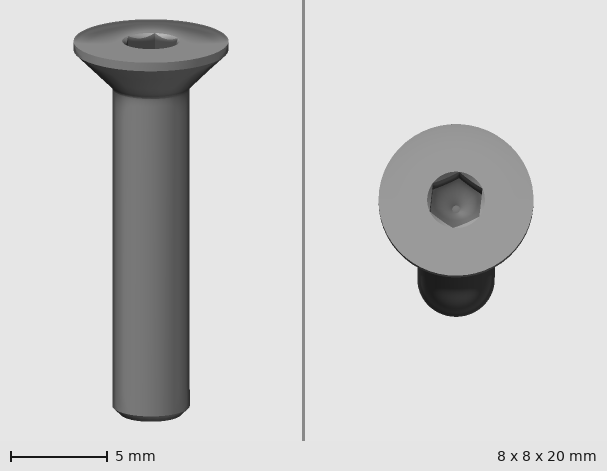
import cadquery as cq
import math

length = 20
head_radius = 4
shank_radius = 2
rim_height = 0.45
neck_fillet = 0.18
tip_chamfer = 0.4

socket_flats = 2.58
socket_depth = 1.6
socket_corner_radius = socket_flats / 2 / math.cos(math.radians(30))
mouth_radius = socket_corner_radius
floor_flat_radius = 0.2
floor_half_angle = 60

head_height = rim_height + head_radius - shank_radius


def make_body():
    """Revolved head and shank, with a small fillet at the neck."""
    profile = (
        cq.Workplane("XZ")
        .lineTo(head_radius, 0)
        .lineTo(head_radius, -rim_height)
        .lineTo(shank_radius, -head_height)
        .lineTo(shank_radius, -length + tip_chamfer)
        .lineTo(shank_radius - tip_chamfer, -length)
        .lineTo(0, -length)
        .close()
    )
    body = profile.revolve(360, (0, 0, 0), (0, 1, 0))
    neck = cq.selectors.BoxSelector(
        (-head_radius, -head_radius, -head_height - neck_fillet),
        (head_radius, head_radius, -head_height + neck_fillet),
    )
    return body.edges(neck).fillet(neck_fillet)


def make_socket():
    """Hexagon with corners on the X axis, a drilled floor and a countersunk mouth."""
    floor_drop = (socket_corner_radius - floor_flat_radius) / math.tan(math.radians(floor_half_angle))
    total_depth = socket_depth + floor_drop
    hexagon = cq.Workplane("XY").polygon(6, 2 * socket_corner_radius).extrude(-total_depth)
    drill = (
        cq.Workplane("XZ")
        .lineTo(socket_corner_radius, 0)
        .lineTo(socket_corner_radius, -socket_depth)
        .lineTo(floor_flat_radius, -total_depth)
        .lineTo(0, -total_depth)
        .close()
        .revolve(360, (0, 0, 0), (0, 1, 0))
    )
    mouth = (
        cq.Workplane("XZ")
        .lineTo(mouth_radius, 0)
        .lineTo(0, -mouth_radius)
        .close()
        .revolve(360, (0, 0, 0), (0, 1, 0))
    )
    return hexagon.intersect(drill).union(mouth)


result = make_body().cut(make_socket())